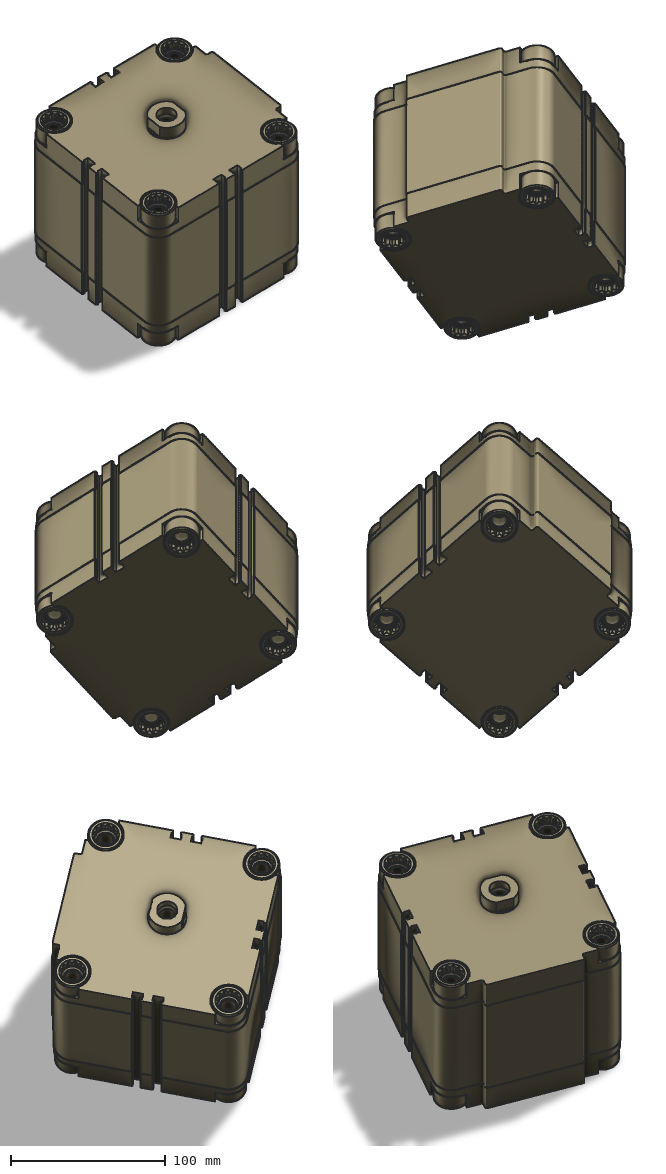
import cadquery as cq
import math


BODY_WIDTH = 128.0
HOUSING_HEIGHT = 116.5
CAP_HEIGHT = 19.5
CAP_INSET = 0.4
CORNER_SPACING = 103.0
HALF_WIDTH = BODY_WIDTH / 2
CORNER_OFFSET = CORNER_SPACING / 2

PAD_TOP_Y = 69.0
PAD_HALF_WIDTH = 34.0
PAD_FILLET = 1.3

SLOT_OFFSET = 6.8
SLOT_MOUTH_WIDTH = 5.2
SLOT_INNER_WIDTH = 6.9
SLOT_DEPTH = 5.9
SLOT_LIP = 2.3
SLOT_CHAMFER = 0.5

RECESS_DIAMETER = 23.7
RECESS_DEPTH = 12.4
RECESS_REACH = 6.4
BOSS_DIAMETER = 23.0
BOSS_CHAMFER = 0.9

SOCKET_RIM_DIAMETER = 17.3
SOCKET_POINTS = 12
SOCKET_TIP_DIAMETER = 16.5
SOCKET_NOTCH_DIAMETER = 13.8
SOCKET_RELIEF_DIAMETER = 15.4
SOCKET_STAR_DEPTH = 6.4
SOCKET_DEPTH = 7.6
THREAD_RIM_DIAMETER = 11.5
THREAD_DIAMETER = 10.1
THREAD_DEPTH = 20.0
BORE_DIAMETER = 8.0

ROD_DIAMETER = 25.0
ROD_EXPOSED = 10.0
ROD_FLAT_WIDTH = 22.0
ROD_FLAT_HEIGHT = 8.8
ROD_COUNTERBORE_DIAMETER = 13.0
ROD_COUNTERBORE_DEPTH = 5.9
ROD_HOLE_DIAMETER = 10.1
ROD_HOLE_DEPTH = 20.0
DRILL_HALF_ANGLE = math.radians(59)

ROD_TOP = HOUSING_HEIGHT + ROD_EXPOSED
ROD_BOTTOM = HOUSING_HEIGHT - CAP_HEIGHT


def housing_section(inset, bottom, height):
    """Rounded square block with the pad, its outside faces set in by `inset`."""
    width = BODY_WIDTH - 2 * inset
    block = (
        cq.Workplane("XY", origin=(0, 0, bottom))
        .rect(width, width)
        .extrude(height)
        .edges("|Z")
        .fillet(HALF_WIDTH - CORNER_OFFSET - inset)
    )
    return block.union(pad(width / 2, PAD_TOP_Y - inset, bottom, height))


def pad(base_y, top_y, bottom, height):
    """Raised pad with rounded outer edges and concave fillets at its foot."""
    r = PAD_FILLET
    outline = (
        cq.Workplane("XY", origin=(0, 0, bottom))
        .moveTo(-PAD_HALF_WIDTH - r, 0)
        .lineTo(-PAD_HALF_WIDTH - r, base_y)
        .radiusArc((-PAD_HALF_WIDTH, base_y + r), -r)
        .lineTo(-PAD_HALF_WIDTH, top_y - r)
        .radiusArc((-PAD_HALF_WIDTH + r, top_y), r)
        .lineTo(PAD_HALF_WIDTH - r, top_y)
        .radiusArc((PAD_HALF_WIDTH, top_y - r), r)
        .lineTo(PAD_HALF_WIDTH, base_y + r)
        .radiusArc((PAD_HALF_WIDTH + r, base_y), -r)
        .lineTo(PAD_HALF_WIDTH + r, 0)
        .close()
    )
    return outline.extrude(height)


def slot_pair(inset, bottom, height):
    """Cutter for two T-slots in the -Y face, with chamfered mouths."""
    face_y = -HALF_WIDTH + inset
    mouth = SLOT_MOUTH_WIDTH / 2
    inner = SLOT_INNER_WIDTH / 2
    lip_y = -HALF_WIDTH + SLOT_LIP
    floor_y = -HALF_WIDTH + SLOT_DEPTH
    right_side = [
        (mouth + SLOT_CHAMFER, face_y),
        (mouth, face_y + SLOT_CHAMFER),
        (mouth, lip_y),
        (inner, lip_y),
        (inner, floor_y),
    ]
    left_side = [(-x, y) for x, y in reversed(right_side)]
    slot = (
        cq.Workplane("XY", origin=(0, 0, bottom))
        .polyline(right_side + left_side)
        .close()
        .extrude(height)
    )
    return slot.translate((-SLOT_OFFSET, 0, 0)).union(slot.translate((SLOT_OFFSET, 0, 0)))


def slotted_section(inset, bottom, height):
    """One level of the housing, with slots on the -X, -Y and +X sides."""
    section = housing_section(inset, bottom, height)
    slots = slot_pair(inset, bottom, height)
    for angle in (-90, 0, 90):
        section = section.cut(slots.rotate((0, 0, 0), (0, 0, 1), angle))
    return section




def corner_recess():
    """Round recess that opens squarely through both neighbouring side faces."""
    opening_length = 2 * RECESS_DIAMETER
    recess = cq.Workplane("XY").circle(RECESS_DIAMETER / 2).extrude(-RECESS_DEPTH)
    for x, y in ((-RECESS_REACH, 0), (0, -RECESS_REACH)):
        opening = cq.Workplane("XY").box(opening_length, opening_length, RECESS_DEPTH, centered=False)
        recess = recess.union(opening.translate((x, y, -RECESS_DEPTH)))
    return recess


def corner_boss():
    """Round boss that fills the recess up to the end face."""
    boss = cq.Workplane("XY").circle(BOSS_DIAMETER / 2).extrude(-RECESS_DEPTH)
    return boss.faces(">Z").chamfer(BOSS_CHAMFER)


def star_socket():
    """Star-shaped socket, with tips and notches alternating around the axis."""
    outline = []
    for i in range(2 * SOCKET_POINTS):
        radius = (SOCKET_NOTCH_DIAMETER if i % 2 else SOCKET_TIP_DIAMETER) / 2
        angle = math.pi * i / SOCKET_POINTS
        outline.append((radius * math.cos(angle), radius * math.sin(angle)))
    return cq.Workplane("XY").polyline(outline).close().extrude(-SOCKET_STAR_DEPTH)


def corner_hole():
    """Socket with a flared rim and a relief at its floor, then the threaded hole."""
    rim = SOCKET_RIM_DIAMETER / 2
    thread_rim = THREAD_RIM_DIAMETER / 2
    thread = THREAD_DIAMETER / 2
    flare = cq.Workplane("XY").add(cq.Solid.makeCone(0, rim, rim)).translate((0, 0, -rim))
    relief = (
        cq.Workplane("XY", origin=(0, 0, -SOCKET_DEPTH))
        .circle(SOCKET_RELIEF_DIAMETER / 2)
        .extrude(SOCKET_DEPTH - SOCKET_STAR_DEPTH)
    )
    threaded_hole = (
        cq.Workplane("XZ")
        .moveTo(0, -SOCKET_DEPTH)
        .lineTo(thread_rim, -SOCKET_DEPTH)
        .lineTo(thread, -SOCKET_DEPTH - (thread_rim - thread))
        .lineTo(thread, -THREAD_DEPTH)
        .lineTo(0, -THREAD_DEPTH)
        .close()
        .revolve(360, (0, 0, 0), (0, 1, 0))
    )
    return star_socket().union(flare).union(relief).union(threaded_hole)


def at_all_corners(feature):
    """The four copies for the top face, then the four mirrored ones for the underside."""
    placed = feature.translate((CORNER_OFFSET, CORNER_OFFSET, HOUSING_HEIGHT))
    upper = [placed.rotate((0, 0, 0), (0, 0, 1), angle) for angle in (0, 90, 180, 270)]
    middle = (0, 0, HOUSING_HEIGHT / 2)
    lower = [copy.mirror("XY", middle) for copy in upper]
    return upper + lower


def make_housing():
    """Slotted housing with its corner recesses, bosses and bores, and the seat for the rod."""
    body_height = HOUSING_HEIGHT - 2 * CAP_HEIGHT
    housing = slotted_section(0, CAP_HEIGHT, body_height)
    for bottom in (0, HOUSING_HEIGHT - CAP_HEIGHT):
        housing = housing.union(slotted_section(CAP_INSET, bottom, CAP_HEIGHT))
    for recess in at_all_corners(corner_recess()):
        housing = housing.cut(recess)
    for boss in at_all_corners(corner_boss()):
        housing = housing.union(boss)
    for hole in at_all_corners(corner_hole()):
        housing = housing.cut(hole)
    bores = (
        cq.Workplane("XY")
        .rect(CORNER_SPACING, CORNER_SPACING, forConstruction=True)
        .vertices()
        .circle(BORE_DIAMETER / 2)
        .extrude(HOUSING_HEIGHT)
    )
    rod_seat = (
        cq.Workplane("XY", origin=(0, 0, ROD_BOTTOM))
        .circle(ROD_DIAMETER / 2)
        .extrude(CAP_HEIGHT)
    )
    return housing.cut(bores).cut(rod_seat)


def rod_hole():
    """Counterbore, 45-degree cone, threaded hole and drill point in the rod's end."""
    wide = ROD_COUNTERBORE_DIAMETER / 2
    narrow = ROD_HOLE_DIAMETER / 2
    cone_top = ROD_TOP - ROD_COUNTERBORE_DEPTH
    hole_bottom = ROD_TOP - ROD_HOLE_DEPTH
    return (
        cq.Workplane("XZ")
        .moveTo(0, ROD_TOP)
        .lineTo(wide, ROD_TOP)
        .lineTo(wide, cone_top)
        .lineTo(narrow, cone_top - (wide - narrow))
        .lineTo(narrow, hole_bottom)
        .lineTo(0, hole_bottom - narrow / math.tan(DRILL_HALF_ANGLE))
        .close()
        .revolve(360, (0, 0, 0), (0, 1, 0))
    )


def make_rod():
    """Rod with two wrench flats and a threaded hole in its end."""
    rod = (
        cq.Workplane("XY", origin=(0, 0, ROD_BOTTOM))
        .circle(ROD_DIAMETER / 2)
        .extrude(ROD_TOP - ROD_BOTTOM)
    )
    flat_centre = (ROD_FLAT_WIDTH + ROD_DIAMETER) / 2
    for side in (-1, 1):
        flat = (
            cq.Workplane("XY", origin=(0, side * flat_centre, ROD_TOP - ROD_FLAT_HEIGHT))
            .rect(ROD_DIAMETER, ROD_DIAMETER)
            .extrude(ROD_FLAT_HEIGHT)
        )
        rod = rod.cut(flat)
    return rod.cut(rod_hole())


housing = make_housing()
rod = make_rod()
result = cq.Compound.makeCompound([housing.val(), rod.val()])